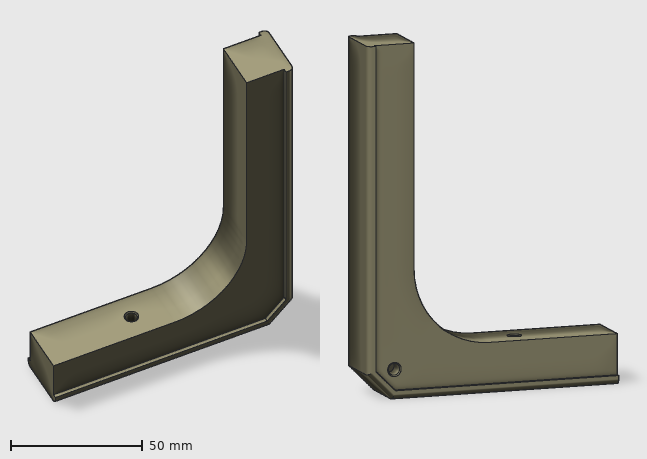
import cadquery as cq

width = 23.3
length = 101.6
height = 137.6

arm_depth = 19.4
inner_radius = 30.3
corner_cut = 10.0

flange_overhang = 1.7
flange_thickness = 3.5
flange_edge_radius = 2.0
body_width = width - 2 * flange_overhang

hole_diameter = 4.5
hole_rim_diameter = 5.5
arm_hole_from_end = 38.1
side_hole_inset = 11.4
side_hole_depth = 6.9

back = length / 2
front = -length / 2
bottom = -height / 2
top = height / 2


def extrude_across(sketch, thickness):
    """Extrude a YZ outline symmetrically along X."""
    return sketch.extrude(thickness / 2, both=True)


def bracket_blank():
    """Full-width L with a cut outer corner and a round inner corner."""
    outline = (
        cq.Workplane("YZ")
        .moveTo(front, bottom)
        .lineTo(back - corner_cut, bottom)
        .lineTo(back, bottom + corner_cut)
        .lineTo(back, top)
        .lineTo(back - arm_depth, top)
        .lineTo(back - arm_depth, bottom + arm_depth + inner_radius)
        .radiusArc((back - arm_depth - inner_radius, bottom + arm_depth), inner_radius)
        .lineTo(front, bottom + arm_depth)
        .close()
    )
    return extrude_across(outline, width)


def region_inside_flange():
    """Everything on the inner side of the flange, over the full width."""
    inner_cut = corner_cut - (2 - 2**0.5) * flange_thickness
    inner_back = back - flange_thickness
    inner_bottom = bottom + flange_thickness
    outline = (
        cq.Workplane("YZ")
        .moveTo(front, inner_bottom)
        .lineTo(inner_back - inner_cut, inner_bottom)
        .lineTo(inner_back, inner_bottom + inner_cut)
        .lineTo(inner_back, top)
        .lineTo(front, top)
        .close()
    )
    return extrude_across(outline, width)


def side_recesses():
    """Material to remove beside the body, leaving the flange."""
    core = cq.Workplane("XY").box(body_width, length, height)
    return region_inside_flange().cut(core)


def chamfered_hole(mouth, depth):
    """Hole cutter running from the mouth workplane, with a 45 degree chamfered rim."""
    rim_chamfer = (hole_rim_diameter - hole_diameter) / 2
    bore = mouth.circle(hole_diameter / 2).extrude(depth)
    rim = mouth.circle(hole_rim_diameter / 2).extrude(rim_chamfer, taper=45)
    return bore.union(rim)


def arm_hole():
    """Vertical hole through the lower arm, chamfered on the inner face."""
    mouth = cq.Workplane("XY", origin=(0, front + arm_hole_from_end, bottom + arm_depth))
    return chamfered_hole(mouth.transformed(rotate=(180, 0, 0)), arm_depth)


def side_hole():
    """Blind hole in the -X side near the outer corner."""
    center = (-body_width / 2, back - side_hole_inset, bottom + side_hole_inset)
    return chamfered_hole(cq.Workplane("YZ", origin=center), side_hole_depth)


blank = bracket_blank()
outer_edges = blank.faces("<X or >X").edges(">Y or <Z").add(
    blank.faces(cq.selectors.DirectionMinMaxSelector(cq.Vector(0, 1, -1), True)).edges("<X or >X")
)
result = outer_edges.fillet(flange_edge_radius)
result = result.cut(side_recesses()).cut(arm_hole()).cut(side_hole())